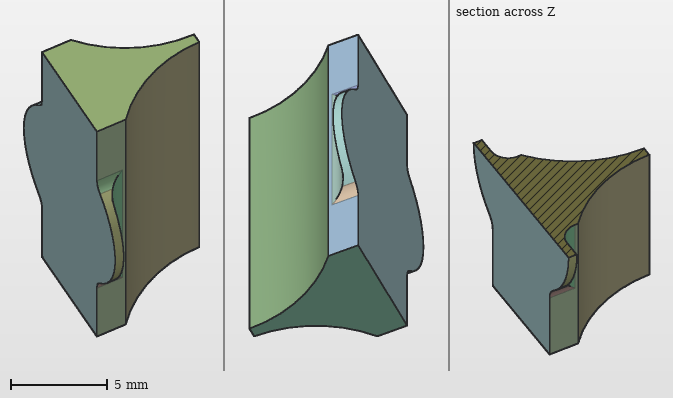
import cadquery as cq
import math

bar_length = 17.07
bar_depth = 7.5
bar_width = 6.0
tip_width = 0.58
flank_radius = 7.55

flange_diameter = 10.0
flange_thickness = 0.5
blend_radius = 1.0


def flank_point(angle):
    """Point on the right concave flank, at an angle swept from the tip."""
    x = tip_width / 2 + flank_radius * (1 - math.cos(angle))
    y = bar_depth - flank_radius * math.sin(angle)
    return x, y


def make_bar():
    """Bar whose two concave flanks leave the narrow tip parallel to Y."""
    flank_run = (bar_width - tip_width) / 2
    flank_angle = math.acos(1 - flank_run / flank_radius)
    tip_x, tip_y = flank_point(0)
    mid_x, mid_y = flank_point(flank_angle / 2)
    side_x, side_y = flank_point(flank_angle)
    return (
        cq.Workplane("XY")
        .workplane(offset=-bar_length / 2)
        .moveTo(-side_x, 0)
        .lineTo(side_x, 0)
        .lineTo(side_x, side_y)
        .threePointArc((mid_x, mid_y), (tip_x, tip_y))
        .lineTo(-tip_x, tip_y)
        .threePointArc((-mid_x, mid_y), (-side_x, side_y))
        .close()
        .extrude(bar_length)
    )


def make_flange():
    """Disc with its axis along Y, flush with the front face of the bar."""
    return cq.Workplane("XZ").circle(flange_diameter / 2).extrude(-flange_thickness)


def blend_flange(body):
    """Round the inside edges where the flange meets the sides of the bar."""
    half_width = bar_width / 2
    half_chord = math.sqrt((flange_diameter / 2) ** 2 - half_width**2)
    margin = blend_radius / 10
    y_min = flange_thickness / 4
    y_max = flange_thickness + margin
    z_max = half_chord + margin
    for side_x in (-half_width, half_width):
        junction = cq.selectors.BoxSelector(
            (side_x - margin, y_min, -z_max),
            (side_x + margin, y_max, z_max),
        )
        body = body.edges(junction).fillet(blend_radius)
    return body


result = blend_flange(make_bar().union(make_flange()))